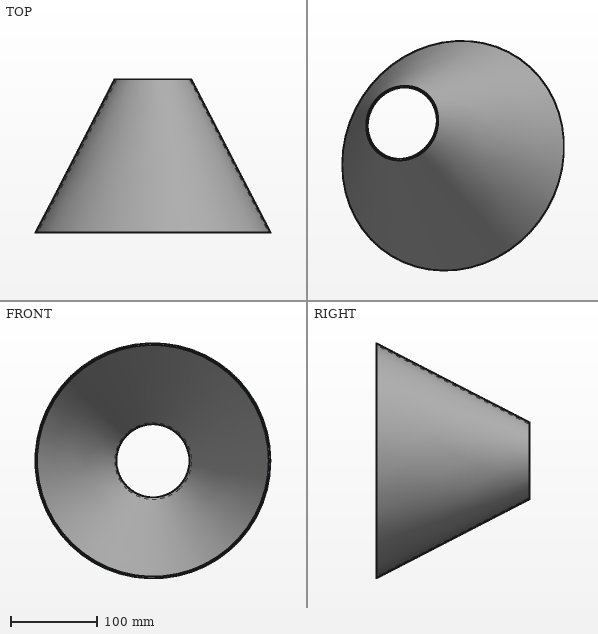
import cadquery as cq
import math

large_diameter = 273.0
small_diameter = 89.0
length = 178.0
wall = 2.0

large_radius = large_diameter / 2
small_radius = small_diameter / 2

half_angle = math.atan2(large_radius - small_radius, length)
radial_wall = wall / math.cos(half_angle)

wall_section = (
    cq.Workplane("XY")
    .moveTo(large_radius - radial_wall, 0)
    .lineTo(large_radius, 0)
    .lineTo(small_radius, length)
    .lineTo(small_radius - radial_wall, length)
    .close()
)

result = wall_section.revolve(360, (0, 0, 0), (0, 1, 0))